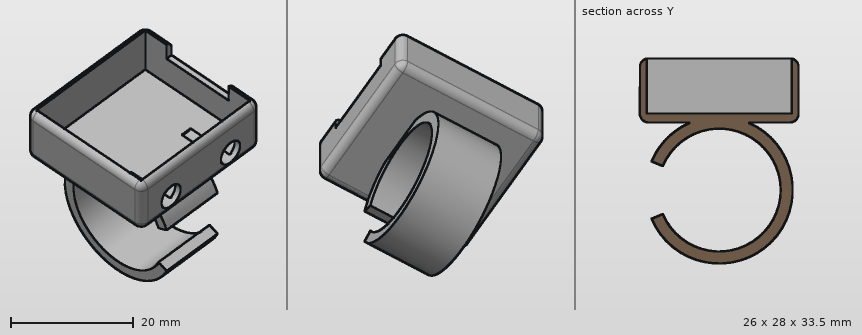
import cadquery as cq
import math

case_length_x = 26.0
case_length_y = 28.0
case_height = 10.5
wall = 1.2
floor_thickness = 1.5
edge_radius = 1.5

notch_width = 14.0
notch_depth = 3.25

bore_diameter = 4.5
bore_start_x = 3.0
bore_offset_y = 7.0
bore_axis_above_floor = 2.0

ring_inner_radius = 10.0
ring_thickness = 2.0
ring_width = 12.0
ring_overlap = 1.0
ring_gap_half_angle = 0.4

ring_outer_radius = ring_inner_radius + ring_thickness
ring_center_z = ring_overlap - ring_outer_radius


def make_case():
    """Box rounded on every edge, hollowed from the top."""
    block = (
        cq.Workplane("XY")
        .box(case_length_x, case_length_y, case_height, centered=(True, True, False))
        .edges()
        .fillet(edge_radius)
    )
    pocket = (
        cq.Workplane("XY")
        .workplane(offset=floor_thickness)
        .rect(case_length_x - 2 * wall, case_length_y - 2 * wall)
        .extrude(case_height)
    )
    return block.cut(pocket)


def make_notch():
    """Cutter that lowers the middle of the +Y rim."""
    return (
        cq.Workplane("XY")
        .box(notch_width, 2 * wall, 2 * notch_depth)
        .translate((0, case_length_y / 2, case_height))
    )


def make_bore(center_y):
    """Cutter along X, from inside the case out through the +X wall."""
    return (
        cq.Workplane("YZ")
        .workplane(offset=bore_start_x)
        .center(center_y, floor_thickness + bore_axis_above_floor)
        .circle(bore_diameter / 2)
        .extrude(case_length_x / 2)
    )


def ring_point(radius, angle):
    """Point in the XZ plane at a polar position about the ring axis."""
    return (radius * math.cos(angle), ring_center_z + radius * math.sin(angle))


def make_ring():
    """Band about a Y axis, open towards +X with radial end faces."""
    start = ring_gap_half_angle
    end = -ring_gap_half_angle
    return (
        cq.Workplane("XZ")
        .moveTo(*ring_point(ring_outer_radius, start))
        .threePointArc(
            ring_point(ring_outer_radius, math.pi),
            ring_point(ring_outer_radius, end),
        )
        .lineTo(*ring_point(ring_inner_radius, end))
        .threePointArc(
            ring_point(ring_inner_radius, math.pi),
            ring_point(ring_inner_radius, start),
        )
        .close()
        .extrude(ring_width / 2, both=True)
    )


result = make_case().union(make_ring()).cut(make_notch())
for side in (-1, 1):
    result = result.cut(make_bore(side * bore_offset_y))